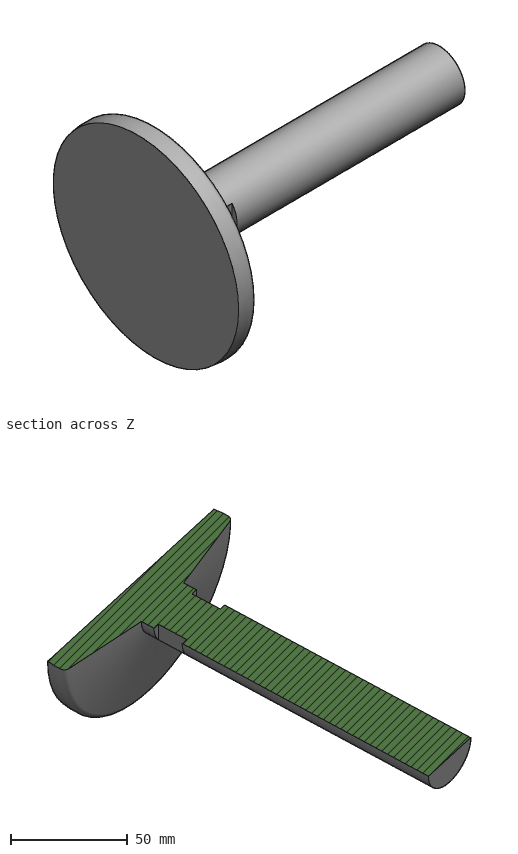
import cadquery as cq
import math

total_length = 172.0
foot_diameter = 118.0
stem_diameter = 30.0

face_inset = 0.5
base_taper_height = 4.1
rim_top = 7.2
shoulder_radius = 3.0
cone_top = 17.2
cone_angle = math.radians(9.5)

flats_start = 24.0
flats_length = 15.1
flats_width = 23.7

foot_radius = foot_diameter / 2
stem_radius = stem_diameter / 2


def shoulder_point(angle):
    """Point on the shoulder arc, with the angle measured from the radial direction."""
    center_radius = foot_radius - shoulder_radius
    return (
        center_radius + shoulder_radius * math.cos(angle),
        rim_top + shoulder_radius * math.sin(angle),
    )


def make_body():
    """Revolve the foot and stem as one profile."""
    shoulder_end = math.pi / 2 - cone_angle
    return (
        cq.Workplane("XY")
        .moveTo(0, 0)
        .lineTo(foot_radius - face_inset, 0)
        .lineTo(foot_radius, base_taper_height)
        .lineTo(foot_radius, rim_top)
        .threePointArc(shoulder_point(shoulder_end / 2), shoulder_point(shoulder_end))
        .lineTo(stem_radius, cone_top)
        .lineTo(stem_radius, total_length)
        .lineTo(0, total_length)
        .close()
        .revolve(360, (0, 0, 0), (0, 1, 0))
    )


def make_flat_cutter(side):
    """Block that removes the stem outside one flat; side is -1 or +1 along X."""
    cutter_depth = stem_radius
    return cq.Workplane("XY").box(cutter_depth, flats_length, stem_diameter).translate(
        (side * (flats_width + cutter_depth) / 2, flats_start + flats_length / 2, 0)
    )


result = make_body()
for side in (-1, 1):
    result = result.cut(make_flat_cutter(side))